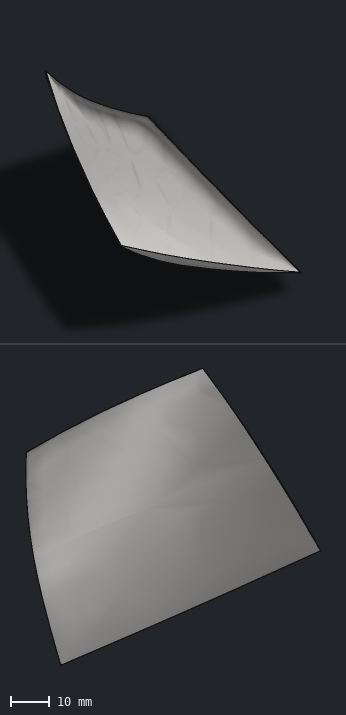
import cadquery as cq
import math


ROOT_LEADING = (-16.4, 21.62)
ROOT_TRAILING = (19.1, -21.63)
TIP_LEADING = (-24.5, 12.5)
TIP_TRAILING = (24.45, -14.45)

LEADING_BOW = (-1.25, 0.0)
TRAILING_BOW = (0.0, -0.45)

ROOT_UPPER_SAG = 2.15
ROOT_LOWER_SAG = 6.7
TIP_UPPER_SAG = 0.12
TIP_LOWER_SAG = 2.0

EDGE_THICKNESS = 0.22

ROOT_FORWARD_FULLNESS = 0.82
TIP_FORWARD_FULLNESS = 1.05
AFT_FULLNESS = 0.65

LOWER_HOLLOW = 0.55

ROOT_OFFSET = -31.2
ROOT_SLOPE = 0.234
ROOT_BEND = -0.0019
TIP_OFFSET = 34.57
TIP_SLOPE = -0.2735
TIP_BEND = -0.0062

FORWARD_QUARTER = 0.25
MID_CHORD = 0.5
AFT_QUARTER = 0.75
SPAN_STATIONS = (0, 0.5, 1)

SEWING_TOLERANCE = 0.001

shapes = cq.occ_impl.shapes


def blend(root_value, tip_value, span):
    """Value at a span fraction, 0 at the root and 1 at the tip."""
    return root_value + (tip_value - root_value) * span


def bow_share(span):
    """Share of a mid-span bow: none at the root and tip, all of it at mid span."""
    return 4 * span * (1 - span)


def chord_end(root_point, tip_point, bow, span):
    """Bowed long edge at a span fraction, as (Y, Z)."""
    share = bow_share(span)
    return [blend(r, t, span) + b * share for r, t, b in zip(root_point, tip_point, bow)]


def span_position(z, span):
    """X of a section point at height z."""
    root_x = ROOT_OFFSET + ROOT_SLOPE * z + ROOT_BEND * z**2
    tip_x = TIP_OFFSET + TIP_SLOPE * z + TIP_BEND * z**2
    return blend(root_x, tip_x, span)


def section_curve(span, mid_sag, edge_sag):
    """Smooth curve from leading to trailing edge, hanging below the chord."""
    lead_y, lead_z = chord_end(ROOT_LEADING, TIP_LEADING, LEADING_BOW, span)
    trail_y, trail_z = chord_end(ROOT_TRAILING, TIP_TRAILING, TRAILING_BOW, span)
    chord = math.hypot(trail_y - lead_y, trail_z - lead_z)
    down_y = (trail_z - lead_z) / chord
    down_z = (lead_y - trail_y) / chord
    forward_fullness = blend(ROOT_FORWARD_FULLNESS, TIP_FORWARD_FULLNESS, span)
    sag_shares = {0: 0, FORWARD_QUARTER: forward_fullness, MID_CHORD: 1, AFT_QUARTER: AFT_FULLNESS, 1: 0}
    points = []
    for fraction, share in sag_shares.items():
        sag = edge_sag + (mid_sag - edge_sag) * share
        y = lead_y + (trail_y - lead_y) * fraction + down_y * sag
        z = lead_z + (trail_z - lead_z) * fraction + down_z * sag
        points.append(cq.Vector(span_position(z, span), y, z))
    return cq.Edge.makeSpline(points, parameters=list(sag_shares))


def section_wire(span):
    """Closed section outline, both long curves split at mid chord."""
    upper_sag = blend(ROOT_UPPER_SAG, TIP_UPPER_SAG, span)
    lower_sag = blend(ROOT_LOWER_SAG, TIP_LOWER_SAG, span) - LOWER_HOLLOW * bow_share(span)
    upper = section_curve(span, upper_sag, -EDGE_THICKNESS / 2)
    lower = section_curve(span, lower_sag, EDGE_THICKNESS / 2)
    leading = cq.Edge.makeLine(lower.startPoint(), upper.startPoint())
    trailing = cq.Edge.makeLine(upper.endPoint(), lower.endPoint())
    upper_halves = [upper.trim(0, MID_CHORD), upper.trim(MID_CHORD, 1)]
    lower_halves = [lower.trim(0, MID_CHORD), lower.trim(MID_CHORD, 1)]
    return cq.Wire.assembleEdges([leading, *upper_halves, trailing, *reversed(lower_halves)])


sections = [section_wire(span) for span in SPAN_STATIONS]
skin = shapes.loft(sections)
root_face = shapes.fill(sections[0])
tip_face = shapes.fill(sections[-1])
blade = shapes.solid([*skin.Faces(), root_face, tip_face], tol=SEWING_TOLERANCE)
result = cq.Workplane(obj=blade)